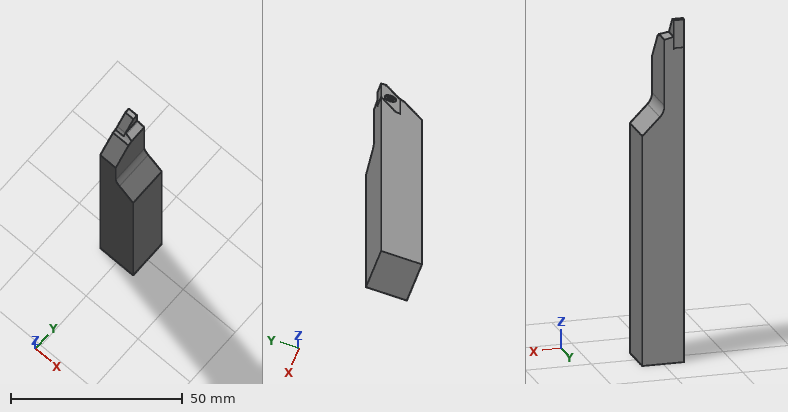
import cadquery as cq
import math

BAR = 12.7
NECK = 6.0
SHOULDER_Z = 70.5
SHOULDER_FILLET = 4.7
SLOPE_LOW_Z = 90.4
SLOPE_TOP_Z = 98.5
SLOPE_TOP_Y = 5.7
COVE_TOP_Z = 100.0
SHANK_TOP_DROP = 0.6
SHANK_TOP_FLAT = 0.3

INSERT_THICKNESS = 3.2
INSERT_TOP_Z = 105.0
INSERT_BOTTOM_Z = 90.0
INSERT_WIDTH = 6.0
TIP_WIDTH = 1.6
TIP_ANGLE = 35.0
TAIL_WIDTH = 1.4
TAIL_FILLET = 0.8
INSERT_EDGE_Z = 96.5

SCREW_Y = 9.8
SCREW_Z = 97.5
SINK_RADIUS = 1.8
SINK_DEPTH = 1.0
HEAD_RECESS = 0.3
STEM_RADIUS = 1.3
SCREW_LENGTH = 4.7
SOCKET_CORE_RADIUS = 0.7
SOCKET_LOBES = 6
LOBE_RADIUS = 0.26
SOCKET_DEPTH = 0.8

TIP_SLANT = math.radians(TIP_ANGLE)
COVE_TOP_Y = BAR - TIP_WIDTH - (INSERT_TOP_Z - COVE_TOP_Z) * math.tan(TIP_SLANT)
INSERT_SIDE_Y = BAR - INSERT_WIDTH
NECK_FOOT_Z = SHOULDER_Z + BAR - NECK


def extrude_along_x(points, length):
    """Prism from a (Y, Z) outline, starting at the -X face."""
    return cq.Workplane("YZ").polyline(points).close().extrude(length)


def make_side_body():
    """Full-width side profile up to the insert tip, with the cove tangent to the tip edge."""
    return (
        cq.Workplane("YZ")
        .moveTo(0, 0)
        .lineTo(BAR, 0)
        .lineTo(BAR, INSERT_TOP_Z)
        .lineTo(BAR - TIP_WIDTH, INSERT_TOP_Z)
        .lineTo(COVE_TOP_Y, COVE_TOP_Z)
        .tangentArcPoint((SLOPE_TOP_Y, SLOPE_TOP_Z), relative=False)
        .lineTo(0, SLOPE_LOW_Z)
        .close()
        .extrude(BAR)
    )


def make_screw_space():
    """Countersunk hole, revolved about an axis along X."""
    profile = [
        (0, 0),
        (0, SINK_RADIUS),
        (SINK_DEPTH, STEM_RADIUS),
        (SCREW_LENGTH, STEM_RADIUS),
        (SCREW_LENGTH, 0),
    ]
    space = cq.Workplane("XY").polyline(profile).close().revolve(360, (0, 0), (1, 0))
    return space.translate((0, SCREW_Y, SCREW_Z))


def make_screw(screw_space):
    """Screw that fills its hole up to the sunk head, with a lobed socket."""
    recess = cq.Workplane("YZ").center(SCREW_Y, SCREW_Z).circle(SINK_RADIUS).extrude(HEAD_RECESS)
    socket_plane = cq.Workplane("YZ", origin=(HEAD_RECESS, SCREW_Y, SCREW_Z))
    core = socket_plane.circle(SOCKET_CORE_RADIUS).extrude(SOCKET_DEPTH)
    lobes = (
        socket_plane.polarArray(SOCKET_CORE_RADIUS, 0, 360, SOCKET_LOBES)
        .circle(LOBE_RADIUS)
        .extrude(SOCKET_DEPTH)
    )
    return screw_space.cut(recess).cut(core.union(lobes))


def make_insert_blank(side_body):
    """Insert without its screw hole: a slanted blade trimmed by the side profile."""
    outline = [
        (BAR, INSERT_TOP_Z),
        (INSERT_SIDE_Y, INSERT_TOP_Z),
        (INSERT_SIDE_Y, INSERT_BOTTOM_Z),
        (INSERT_SIDE_Y + TAIL_WIDTH, INSERT_BOTTOM_Z),
        (BAR, INSERT_EDGE_Z),
    ]
    blade = extrude_along_x(outline, INSERT_THICKNESS)
    tail_corner = cq.selectors.NearestToPointSelector(
        (INSERT_THICKNESS / 2, INSERT_SIDE_Y + TAIL_WIDTH, INSERT_BOTTOM_Z)
    )
    return blade.edges(tail_corner).fillet(TAIL_FILLET).intersect(side_body)


def make_shank(side_body, insert_blank, screw_space):
    front_outline = [
        (0, 0),
        (BAR, 0),
        (BAR, SHOULDER_Z),
        (NECK, NECK_FOOT_Z),
        (NECK, COVE_TOP_Z - SHANK_TOP_DROP),
        (INSERT_THICKNESS + SHANK_TOP_FLAT, COVE_TOP_Z),
        (0, COVE_TOP_Z),
    ]
    front_body = cq.Workplane("XZ").polyline(front_outline).close().extrude(-BAR)
    shoulder_corner = cq.selectors.NearestToPointSelector((NECK, BAR / 2, NECK_FOOT_Z))
    front_body = front_body.edges(shoulder_corner).fillet(SHOULDER_FILLET)
    return front_body.intersect(side_body).cut(insert_blank).cut(screw_space)


side_body = make_side_body()
screw_space = make_screw_space()
insert_blank = make_insert_blank(side_body)

shank = make_shank(side_body, insert_blank, screw_space)
insert = insert_blank.cut(screw_space)
screw = make_screw(screw_space)

result = cq.Compound.makeCompound([shank.val(), insert.val(), screw.val()])